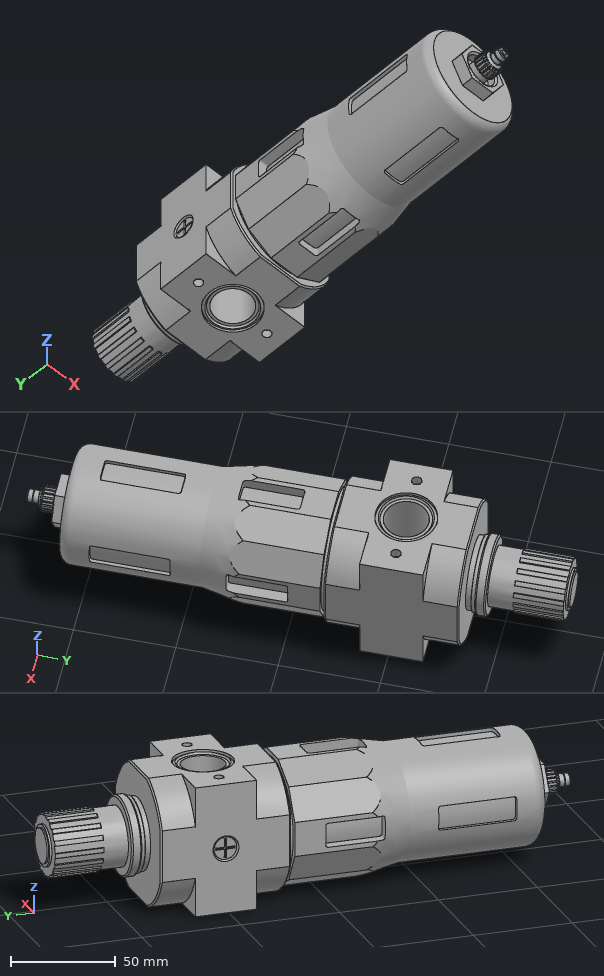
import cadquery as cq
import math


housing_side = 66.0
housing_half = housing_side / 2
barrel_radius = 35.5
barrel_end_chamfer = 0.8
port_block_length = 31.0

port_diameter = 22.0
port_mouth_diameter = 30.0
port_ridge_diameter = 26.7
port_seat_diameter = 25.0
port_ridge_depth = 0.5
port_seat_depth = 1.5
mounting_hole_diameter = 4.8
mounting_hole_spacing = 45.7
mounting_hole_depth = 5.3
drill_point_angle = 118

plug_diameter = 13.0
plug_face_diameter = 11.5
plug_face_depth = 0.8
cross_slot_length = 9.5
cross_slot_width = 1.0
cross_slot_depth = 1.3

collar_neck_diameter = 36.5
collar_step_diameter = 38.0
collar_diameter = 39.8
collar_step_start = 35.8
collar_start = 37.6
collar_top = 43.0
collar_chamfer = 0.8

sleeve_diameter = 30.0
knob_top = 80.0
knob_cap_diameter = 20.8
knob_cap_step = 81.2
knob_button_diameter = 17.5
knob_button_top = 82.0
rib_count = 16
rib_width = 2.5
rib_outer_diameter = 31.5
rib_bottom = 55.5

bowl_neck_diameter = 60.5
grip_start = -35.0
grip_side_count = 12
grip_width = 65.0
flare_start = -74.5
flare_end = -94.5
bowl_diameter = 58.7
bowl_rounding_start = -158.5
bowl_end = -163.7
bowl_end_diameter = 52.3

window_width = 12.3
window_sides = 4
window_corner = 1.3
window_floor_diameter = 55.0
window_floor_end = -152.2
window_floor_rounding = 5.3
upper_window_start = -50.7
upper_window_end = -81.0
lower_window_start = -109.0
lower_window_end = -148.5

hex_side_count = 6
hex_width = 24.0
hex_end = -170.3
recess_diameter = 18.0
recess_mouth_diameter = 20.0
recess_depth = 5.3

drain_neck_diameter = 11.2
knurl_start = -171.5
knurl_straight_end = -176.8
knurl_end = -179.2
knurl_diameter = 13.0
knurl_end_diameter = 7.2
knurl_count = 20
knurl_groove_width = 0.8
knurl_groove_depth = 1.5
nozzle_diameter = 6.5
nozzle_ring_diameter = 7.2
nozzle_ring_start = -181.8
nozzle_ring_end = -182.0
nozzle_tip_diameter = 5.5
nozzle_tip_start = -184.5
overall_length = 267
drain_end = knob_button_top - overall_length
drain_bore_diameter = 3.0
drain_bore_depth = 5.3


def disc(diameter, start, end):
    """Cylinder on the Y axis between two Y positions."""
    return cq.Workplane("XZ", origin=(0, start, 0)).circle(diameter / 2).extrude(start - end)


def turned(points):
    """Solid of revolution about Y from (radius, y) points that start and end on the axis."""
    return cq.Workplane("XY").polyline(points).close().revolve(360, (0, 0, 0), (0, 1, 0))


def polygon_bar(side_count, width, start, end):
    """Regular polygonal bar along Y, measured across flats, with flats facing +Z and -Z."""
    corner_radius = width / 2 / math.cos(math.pi / side_count)
    return cq.Workplane("XZ", origin=(0, start, 0)).polygon(side_count, 2 * corner_radius).extrude(start - end)


def port_cutter():
    """Port through the housing, with a raised ring between the mouth wall and the seat at each end."""
    half_profile = [
        (0, 0),
        (port_diameter / 2, 0),
        (port_diameter / 2, housing_half - port_seat_depth),
        (port_seat_diameter / 2, housing_half - port_seat_depth),
        (port_ridge_diameter / 2, housing_half - port_ridge_depth),
        (port_mouth_diameter / 2, housing_half - port_seat_depth),
        (port_mouth_diameter / 2, housing_half),
        (0, housing_half),
    ]
    upper = cq.Workplane("XZ").polyline(half_profile).close().revolve(360, (0, 0, 0), (0, 1, 0))
    return upper.union(upper.mirror("XY"))


def mounting_hole_cutter():
    """Four blind holes with drill points, two beside each port mouth."""
    radius = mounting_hole_diameter / 2
    point_length = radius / math.tan(math.radians(drill_point_angle / 2))
    floor = housing_half - mounting_hole_depth
    profile = [(0, floor - point_length), (radius, floor), (radius, housing_half), (0, housing_half)]
    drill = cq.Workplane("XZ").polyline(profile).close().revolve(360, (0, 0, 0), (0, 1, 0))
    offset = mounting_hole_spacing / 2
    upper = drill.translate((-offset, 0, 0)).union(drill.translate((offset, 0, 0)))
    return upper.union(upper.mirror("XY"))


def gauge_plug_cutter():
    """Tapered shallow recess with a cross slot in its floor, on the -X face."""
    floor_x = -housing_half + plug_face_depth
    recess = (
        cq.Workplane("YZ", origin=(-housing_half, 0, 0))
        .circle(plug_diameter / 2)
        .workplane(offset=plug_face_depth)
        .circle(plug_face_diameter / 2)
        .loft()
    )
    slot_middle = (floor_x + cross_slot_depth / 2, 0, 0)
    slot_y = cq.Workplane("XY").box(cross_slot_depth, cross_slot_length, cross_slot_width).translate(slot_middle)
    slot_z = cq.Workplane("XY").box(cross_slot_depth, cross_slot_width, cross_slot_length).translate(slot_middle)
    return recess.union(slot_y).union(slot_z)


def make_collar():
    """Stepped collar on the +Y end of the housing, where the knob seats."""
    return turned(
        [
            (0, housing_half),
            (collar_neck_diameter / 2, housing_half),
            (collar_neck_diameter / 2, collar_step_start),
            (collar_step_diameter / 2, collar_step_start),
            (collar_step_diameter / 2, collar_start),
            (collar_diameter / 2 - collar_chamfer, collar_start),
            (collar_diameter / 2, collar_start + collar_chamfer),
            (collar_diameter / 2, collar_top - collar_chamfer),
            (collar_diameter / 2 - collar_chamfer, collar_top),
            (0, collar_top),
        ]
    )


def make_housing():
    """Barrel with flattened sides, square port block and collar in one body."""
    barrel = disc(2 * barrel_radius, housing_half, -housing_half)
    barrel = barrel.intersect(cq.Workplane("XY").box(housing_side, housing_side, housing_side))
    barrel = barrel.faces("<Y or >Y").chamfer(barrel_end_chamfer)
    port_block = cq.Workplane("XY").box(housing_side, port_block_length, housing_side)
    body = barrel.union(port_block).union(make_collar())
    return body.cut(port_cutter()).cut(mounting_hole_cutter()).cut(gauge_plug_cutter())


def make_knob():
    """Smooth sleeve with gripping ribs, closed by a stepped cap."""
    knob = disc(sleeve_diameter, knob_top, collar_top)
    cap = disc(knob_cap_diameter, knob_cap_step, knob_top)
    button = disc(knob_button_diameter, knob_button_top, knob_cap_step)
    rib_envelope = disc(rib_outer_diameter, knob_top, rib_bottom)
    rib_length = knob_top - rib_bottom
    for index in range(rib_count):
        rib = (
            cq.Workplane("XY")
            .box(rib_width, rib_length, rib_outer_diameter / 2, centered=(True, False, False))
            .translate((0, rib_bottom, 0))
            .rotate((0, 0, 0), (0, 1, 0), 360 / rib_count * index)
        )
        knob = knob.union(rib.intersect(rib_envelope))
    return knob.union(cap).union(button)


def window(start, end):
    """Rounded-corner bar reaching out from the axis along +Z, between two Y positions."""
    bar = cq.Workplane("XY").box(window_width, start - end, grip_width, centered=(True, True, False))
    return bar.edges("|Z").fillet(window_corner).translate((0, (start + end) / 2, 0))


def window_cutter():
    """Pairs of windows at equal steps around the bowl, stopping at a round floor."""
    windows = cq.Workplane("XY")
    for index in range(window_sides):
        for bar in (window(upper_window_start, upper_window_end), window(lower_window_start, lower_window_end)):
            windows = windows.add(bar.rotate((0, 0, 0), (0, 1, 0), 360 / window_sides * index))
    floor = disc(window_floor_diameter, grip_start, window_floor_end)
    floor = floor.faces("<Y").edges().fillet(window_floor_rounding)
    return windows.combine().cut(floor)


def make_bowl():
    """Twelve-sided grip flaring into a round bowl that ends in a hexagon."""
    grip_corner_radius = grip_width / 2 / math.cos(math.pi / grip_side_count)
    envelope = (
        cq.Workplane("XY")
        .moveTo(0, grip_start)
        .lineTo(grip_corner_radius, grip_start)
        .lineTo(grip_corner_radius, flare_start)
        .lineTo(bowl_diameter / 2, flare_end)
        .lineTo(bowl_diameter / 2, bowl_rounding_start)
        .tangentArcPoint((bowl_end_diameter / 2, bowl_end), relative=False)
        .lineTo(0, bowl_end)
        .close()
        .revolve(360, (0, 0, 0), (0, 1, 0))
    )
    grip = polygon_bar(grip_side_count, grip_width, grip_start, bowl_end).rotate(
        (0, 0, 0), (0, 1, 0), 180 / grip_side_count
    )
    neck = disc(bowl_neck_diameter, -housing_half, grip_start)
    hexagon = polygon_bar(hex_side_count, hex_width, bowl_end, hex_end)
    mouth_depth = (recess_mouth_diameter - recess_diameter) / 2
    recess = turned(
        [
            (0, hex_end),
            (recess_mouth_diameter / 2, hex_end),
            (recess_diameter / 2, hex_end + mouth_depth),
            (recess_diameter / 2, hex_end + recess_depth),
            (0, hex_end + recess_depth),
        ]
    )
    return envelope.intersect(grip).union(neck).union(hexagon).cut(recess).cut(window_cutter())


def make_drain():
    """Knurled valve standing in the hexagon recess, with a bored hose nozzle."""
    valve = turned(
        [
            (0, hex_end + recess_depth),
            (drain_neck_diameter / 2, hex_end + recess_depth),
            (drain_neck_diameter / 2, knurl_start),
            (knurl_diameter / 2, knurl_start),
            (knurl_diameter / 2, knurl_straight_end),
            (knurl_end_diameter / 2, knurl_end),
            (nozzle_diameter / 2, knurl_end),
            (nozzle_diameter / 2, nozzle_ring_start),
            (nozzle_ring_diameter / 2, nozzle_ring_start),
            (nozzle_ring_diameter / 2, nozzle_ring_end),
            (nozzle_diameter / 2, nozzle_ring_end),
            (nozzle_diameter / 2, nozzle_tip_start),
            (nozzle_tip_diameter / 2, drain_end),
            (0, drain_end),
        ]
    )
    groove_length = knurl_start - knurl_end
    groove = cq.Workplane("XY").box(knurl_groove_width, groove_length, 2 * knurl_groove_depth)
    groove = groove.translate((0, (knurl_start + knurl_end) / 2, knurl_diameter / 2))
    for index in range(knurl_count):
        valve = valve.cut(groove.rotate((0, 0, 0), (0, 1, 0), 360 / knurl_count * index))
    return valve.cut(disc(drain_bore_diameter, drain_end + drain_bore_depth, drain_end))


housing = make_housing()
knob = make_knob()
bowl = make_bowl()
drain_valve = make_drain()

result = cq.Compound.makeCompound([housing.val(), knob.val(), bowl.val(), drain_valve.val()])